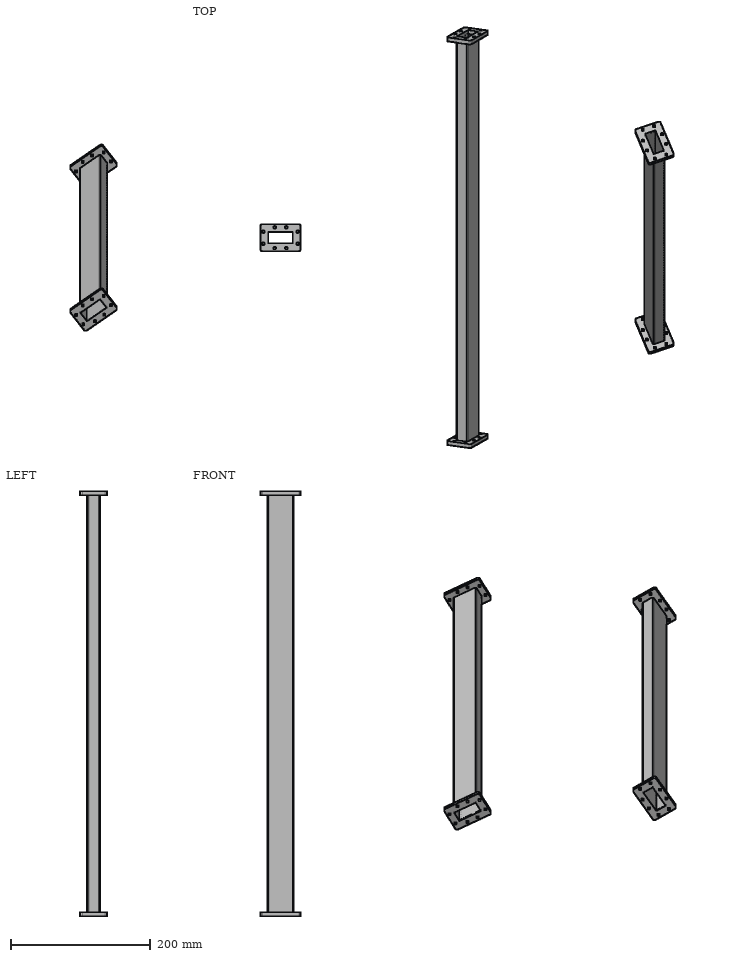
import cadquery as cq

overall_length = 609.6
bore_width = 34.85
bore_height = 15.80
wall_thickness = 1.625
tube_width = bore_width + 2 * wall_thickness
tube_height = bore_height + 2 * wall_thickness
tube_corner_radius = 2.54

flange_width = 57.94
flange_height = 38.89
flange_thickness = 6.0
flange_corner_radius = 3.0

bolt_hole_diameter = 3.5
long_side_row_offset = 14.8
long_side_half_spacing = 8.3
short_side_row_offset = 24.6
short_side_half_spacing = 8.7


def rounded_bar(width, height, length, corner_radius, base_z):
    """Rectangular bar along Z with rounded long edges."""
    bar = cq.Workplane("XY").workplane(offset=base_z).rect(width, height).extrude(length)
    return bar.edges("|Z").fillet(corner_radius)


def flange(base_z):
    """End plate with its ring of bolt holes, before the waveguide bore is cut."""
    plate = rounded_bar(flange_width, flange_height, flange_thickness, flange_corner_radius, base_z)
    hole_points = []
    for x_side in (-1, 1):
        for y_side in (-1, 1):
            hole_points.append((x_side * long_side_half_spacing, y_side * long_side_row_offset))
            hole_points.append((x_side * short_side_row_offset, y_side * short_side_half_spacing))
    holes = (
        cq.Workplane("XY")
        .workplane(offset=base_z)
        .pushPoints(hole_points)
        .circle(bolt_hole_diameter / 2)
        .extrude(flange_thickness)
    )
    return plate.cut(holes)


def waveguide_bore():
    """Sharp-cornered rectangular passage through the whole length."""
    return cq.Workplane("XY").rect(bore_width, bore_height).extrude(overall_length)


bottom_flange_z = 0
top_flange_z = overall_length - flange_thickness
tube_length = top_flange_z - flange_thickness

tube = rounded_bar(tube_width, tube_height, tube_length, tube_corner_radius, flange_thickness)
result = tube.union(flange(bottom_flange_z)).union(flange(top_flange_z)).cut(waveguide_bore())